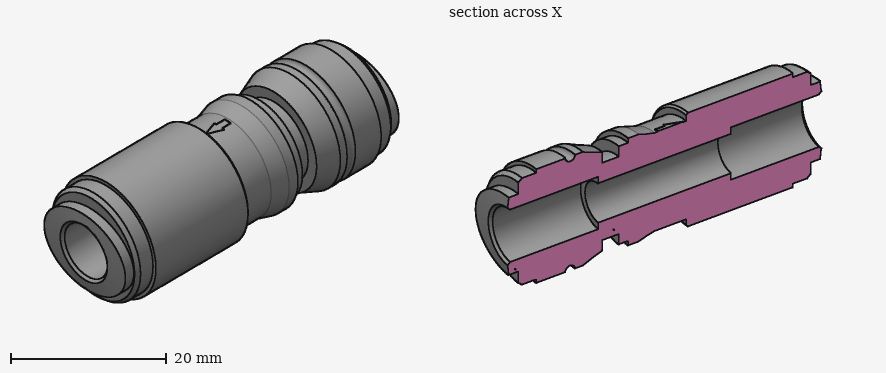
import cadquery as cq


overall_length = 48.55
end_y = overall_length / 2

body_diameter = 17.6
cap_diameter = 16.5
ring_diameter = 16.6
shank_diameter = 15.2
neck_diameter = 12.0

cap_face_y = 22.62
cap_shoulder_y = 19.85
cap_chamfer_width = 0.5
cap_chamfer_length = 0.58
collet_width = 15.2
collet_height = 12.0
crown_rise = 0.17

groove_y = 14.57
groove_radius = 0.73
rear_cone_start_y = 12.65
neck_start_y = 9.6
neck_end_y = 7.1
ring_start_y = 5.65
ring_cone_start_y = 4.05
shank_start_y = 1.55

front_body_start_y = -3.32
front_body_chamfer = 0.3

bore_diameter = 6.0
tube_socket_diameter = 8.0
socket_mouth_diameter = 8.8
socket_mouth_depth = 0.4
tube_socket_depth = 14.0

arrow_tail_y = 1.1
arrow_shoulder_y = -0.4
arrow_tip_y = -2.9
arrow_shaft_width = 1.1
arrow_head_width = 1.8
arrow_relief = 0.08


def make_housing():
    """Revolve the outside outline about the Y axis."""
    body_r = body_diameter / 2
    cap_r = cap_diameter / 2
    ring_r = ring_diameter / 2
    shank_r = shank_diameter / 2
    neck_r = neck_diameter / 2
    cap_face_r = cap_r - cap_chamfer_width
    chamfer_y = cap_face_y - cap_chamfer_length
    return (
        cq.Workplane("XY")
        .moveTo(0, cap_face_y)
        .lineTo(cap_face_r, cap_face_y)
        .lineTo(cap_r, chamfer_y)
        .lineTo(cap_r, cap_shoulder_y)
        .lineTo(body_r, cap_shoulder_y)
        .lineTo(body_r, groove_y + groove_radius)
        .threePointArc((body_r - groove_radius, groove_y), (body_r, groove_y - groove_radius))
        .lineTo(body_r, rear_cone_start_y)
        .lineTo(shank_r, neck_start_y)
        .lineTo(neck_r, neck_start_y)
        .lineTo(neck_r, neck_end_y)
        .lineTo(shank_r, neck_end_y)
        .lineTo(shank_r, ring_start_y)
        .lineTo(ring_r, ring_start_y)
        .lineTo(ring_r, ring_cone_start_y)
        .lineTo(shank_r, shank_start_y)
        .lineTo(shank_r, front_body_start_y)
        .lineTo(body_r - front_body_chamfer, front_body_start_y)
        .lineTo(body_r, front_body_start_y - front_body_chamfer)
        .lineTo(body_r, -cap_shoulder_y)
        .lineTo(cap_r, -cap_shoulder_y)
        .lineTo(cap_r, -chamfer_y)
        .lineTo(cap_face_r, -cap_face_y)
        .lineTo(0, -cap_face_y)
        .close()
        .revolve(360, (0, 0, 0), (0, 1, 0))
    )


def make_collet():
    """Elliptical collet at the +Y end, its face crowned from the oval rim up to the round mouth."""
    rim_y = end_y - crown_rise
    sleeve = (
        cq.Workplane("XZ", origin=(0, cap_shoulder_y, 0))
        .ellipse(collet_width / 2, collet_height / 2)
        .extrude(cap_shoulder_y - rim_y)
    )
    crown = (
        cq.Workplane("XZ", origin=(0, rim_y, 0))
        .ellipse(collet_width / 2, collet_height / 2)
        .workplane(offset=-crown_rise)
        .circle(socket_mouth_diameter / 2)
        .loft(ruled=True)
    )
    return sleeve.union(crown)


def make_arrow():
    """Arrow pointing to -Y, following the top of the shank."""
    shaft_x = arrow_shaft_width / 2
    head_x = arrow_head_width / 2
    shank_r = shank_diameter / 2
    prism = (
        cq.Workplane("XY")
        .workplane(offset=neck_diameter / 2)
        .polyline([
            (-shaft_x, arrow_tail_y),
            (shaft_x, arrow_tail_y),
            (shaft_x, arrow_shoulder_y),
            (head_x, arrow_shoulder_y),
            (0, arrow_tip_y),
            (-head_x, arrow_shoulder_y),
            (-shaft_x, arrow_shoulder_y),
        ])
        .close()
        .extrude(neck_diameter / 2)
    )
    envelope = cq.Workplane("XZ").circle(shank_r + arrow_relief).extrude(end_y, both=True)
    return prism.intersect(envelope)


def make_bore():
    """Through bore with a tube socket and a tapered mouth at each end."""
    bore_r = bore_diameter / 2
    socket_r = tube_socket_diameter / 2
    mouth_r = socket_mouth_diameter / 2
    socket_floor_y = end_y - tube_socket_depth
    mouth_floor_y = end_y - socket_mouth_depth
    return (
        cq.Workplane("XY")
        .polyline([
            (0, end_y),
            (mouth_r, end_y),
            (socket_r, mouth_floor_y),
            (socket_r, socket_floor_y),
            (bore_r, socket_floor_y),
            (bore_r, -socket_floor_y),
            (socket_r, -socket_floor_y),
            (socket_r, -mouth_floor_y),
            (mouth_r, -end_y),
            (0, -end_y),
        ])
        .close()
        .revolve(360, (0, 0, 0), (0, 1, 0))
    )


rear_collet = make_collet()
front_collet = rear_collet.mirror("XZ")
result = (
    make_housing()
    .union(rear_collet)
    .union(front_collet)
    .union(make_arrow())
    .cut(make_bore())
)